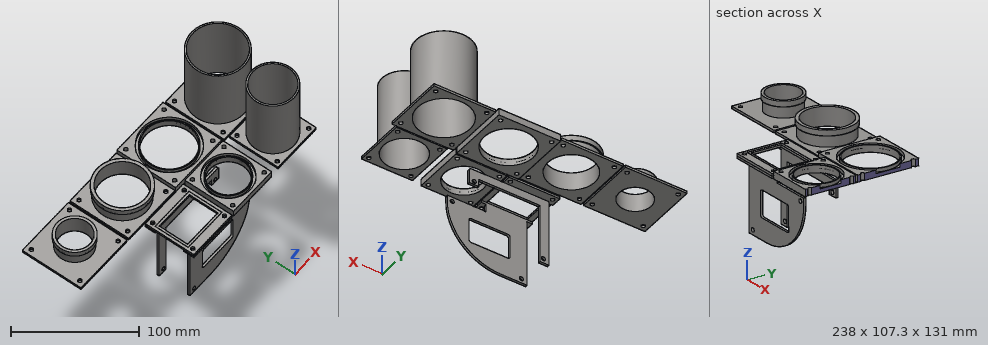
import cadquery as cq
plate_thickness = 2.25
large_side = 58.0
large_hole_inset = 5.0
small_side = 48.0
small_hole_inset = 4.15
screw_diameter = 3.4

column_step = 60.0
ring_x = 119.0
row_gap = 1.28
small_row_y = -(large_side / 2 + row_gap + small_side / 2)
small_ring_x = ring_x + (large_side - small_side) / 2
frame_gap = 2.0
frame_x = small_ring_x - small_side - frame_gap
tube_x = 3 * column_step

collar_height = 17.0
collar_lip_height = 5.0
narrow_collar_bore = 30.0
narrow_collar_diameter = 33.0
narrow_collar_lip_diameter = 35.0
wide_collar_bore = 44.0
wide_collar_diameter = 48.0
wide_collar_lip_diameter = 50.0

tube_height = 66.0
large_tube_diameter = 52.0
small_tube_diameter = 42.0
tube_wall = 1.5

ring_bottom = -1.5
ring_thickness = 6.5
groove_depth = 3.0
groove_clearance = 1.0
large_ring_bore = 46.0
small_ring_bore = 36.0
groove_lip_wall = 1.0

window_length = 38.0
window_width = 28.0
window_step = 2.25
window_step_depth = 0.2

flange_thickness = 2.0
cheek_thickness = 2.25
cheek_length = 75.0
cheek_bottom = -65.0
cheek_arc_radius = 50.0
cheek_corner_radius = 2.0
cheek_window_length = 38.5
cheek_window_height = 23.5
cheek_window_offset = 16.0
cheek_window_bottom = -46.0
cheek_window_radius = 2.0
cheek_hole_diameter = 3.6
lower_hole_inset_x = 5.25
lower_hole_inset_z = 4.25
upper_hole_inset_x = 4.75
upper_hole_z = -13.25
notch_length = 36.5
notch_bottom = -9.25
upright_width = 8.5
band_bottom = -9.5
tab_width = 9.0
tab_bottom = -16.5

cheek_top = -flange_thickness
cheek_left = frame_x - window_length / 2
cheek_right = cheek_left + cheek_length
cheek_plane = cq.Workplane("XZ", origin=(0, small_row_y - window_width / 2, 0))


def drilled_plate(side, inset, x, y, bottom, thickness):
    """Square plate with a screw hole near each corner."""
    pitch = side - 2 * inset
    plate = cq.Workplane("XY", origin=(x, y, bottom)).rect(side, side).extrude(thickness)
    holes = (
        cq.Workplane("XY", origin=(x, y, bottom))
        .rect(pitch, pitch, forConstruction=True)
        .vertices()
        .circle(screw_diameter / 2)
        .extrude(thickness)
    )
    return plate.cut(holes)


def disc(diameter, x, y, bottom, top):
    return cq.Workplane("XY", origin=(x, y, bottom)).circle(diameter / 2).extrude(top - bottom)


def collar(x, bore, outer_diameter, lip_diameter):
    lip_bottom = collar_height - collar_lip_height
    body = drilled_plate(large_side, large_hole_inset, x, 0, 0, plate_thickness)
    body = body.union(disc(outer_diameter, x, 0, 0, lip_bottom))
    body = body.union(disc(lip_diameter, x, 0, lip_bottom, collar_height))
    return body.cut(disc(bore, x, 0, 0, collar_height))


def tube(side, inset, y, diameter):
    body = drilled_plate(side, inset, tube_x, y, 0, plate_thickness)
    body = body.union(disc(diameter, tube_x, y, 0, tube_height))
    return body.cut(disc(diameter - 2 * tube_wall, tube_x, y, 0, tube_height))


def socket_ring(side, inset, x, y, tube_diameter, bore):
    top = ring_bottom + ring_thickness
    floor = top - groove_depth
    groove = disc(tube_diameter + groove_clearance, x, y, floor, top)
    groove = groove.cut(disc(bore + 2 * groove_lip_wall, x, y, floor, top))
    body = drilled_plate(side, inset, x, y, ring_bottom, ring_thickness)
    return body.cut(groove).cut(disc(bore, x, y, ring_bottom, top))


def window_frame():
    origin = (frame_x, small_row_y, 0)
    body = drilled_plate(small_side, small_hole_inset, *origin, plate_thickness)
    window = cq.Workplane("XY", origin=origin).rect(window_length, window_width).extrude(plate_thickness)
    step = (
        cq.Workplane("XY", origin=origin)
        .workplane(offset=plate_thickness - window_step_depth)
        .rect(window_length + 2 * window_step, window_width + 2 * window_step)
        .extrude(window_step_depth)
    )
    return body.cut(window).cut(step)


def cheek_blank():
    """Near cheek outline: straight at the left and top, rounded to a quarter disc at lower right."""
    arc_centre_z = cheek_bottom + cheek_arc_radius
    return (
        cheek_plane.moveTo(cheek_left, cheek_bottom)
        .lineTo(cheek_right - cheek_arc_radius, cheek_bottom)
        .radiusArc((cheek_right, arc_centre_z), -cheek_arc_radius)
        .lineTo(cheek_right, cheek_top - cheek_corner_radius)
        .radiusArc((cheek_right - cheek_corner_radius, cheek_top), -cheek_corner_radius)
        .lineTo(cheek_left, cheek_top)
        .close()
        .extrude(cheek_thickness)
    )


def cheek_block(left, right, bottom, top):
    """Rectangular block through the thickness of the near cheek."""
    return (
        cheek_plane.center((left + right) / 2, (bottom + top) / 2)
        .rect(right - left, top - bottom)
        .extrude(cheek_thickness)
    )


def cheek_holes():
    return (
        cheek_plane.pushPoints([
            (cheek_left + lower_hole_inset_x, cheek_bottom + lower_hole_inset_z),
            (cheek_right - upper_hole_inset_x, upper_hole_z),
        ])
        .circle(cheek_hole_diameter / 2)
        .extrude(cheek_thickness)
    )


def flange():
    """Drilled strip under the near side of the frame, from its edge to the window."""
    strip_width = (small_side - window_width) / 2
    strip = cq.Workplane("XY").box(
        small_side, strip_width, flange_thickness, centered=False
    ).translate((frame_x - small_side / 2, small_row_y - small_side / 2, cheek_top))
    drilled = drilled_plate(
        small_side, small_hole_inset, frame_x, small_row_y, cheek_top, flange_thickness
    )
    return strip.intersect(drilled)


def windowed_bracket():
    """Bracket on the -Y side: a broad cheek with a window and a notch in its upper corner."""
    window_left = cheek_left + cheek_window_offset
    window = cheek_block(
        window_left,
        window_left + cheek_window_length,
        cheek_window_bottom,
        cheek_window_bottom + cheek_window_height,
    )
    window = window.edges("|Y").fillet(cheek_window_radius)
    notch = cheek_block(cheek_right - notch_length, cheek_right, notch_bottom, cheek_top)
    cheek = cheek_blank().cut(window).cut(notch).cut(cheek_holes())
    return cheek.union(flange())


def open_bracket():
    """Bracket on the +Y side: an upright strip, a band along the top and a tab round the hole."""
    opening = cheek_block(
        cheek_left + upright_width, cheek_right - tab_width, cheek_bottom, band_bottom
    )
    below_tab = cheek_block(cheek_right - tab_width, cheek_right, cheek_bottom, tab_bottom)
    cheek = cheek_blank().cut(opening).cut(below_tab).cut(cheek_holes())
    return cheek.union(flange()).mirror("XZ", (0, small_row_y, 0))


narrow_collar = collar(
    0, narrow_collar_bore, narrow_collar_diameter, narrow_collar_lip_diameter
)
wide_collar = collar(
    column_step, wide_collar_bore, wide_collar_diameter, wide_collar_lip_diameter
)
large_ring = socket_ring(
    large_side, large_hole_inset, ring_x, 0, large_tube_diameter, large_ring_bore
)
large_tube = tube(large_side, large_hole_inset, 0, large_tube_diameter)
frame = window_frame()
small_ring = socket_ring(
    small_side, small_hole_inset, small_ring_x, small_row_y, small_tube_diameter, small_ring_bore
)
small_tube = tube(small_side, small_hole_inset, small_row_y, small_tube_diameter)
near_bracket = windowed_bracket()
far_bracket = open_bracket()

result = cq.Compound.makeCompound([
    narrow_collar.val(),
    wide_collar.val(),
    large_ring.val(),
    large_tube.val(),
    frame.val(),
    small_ring.val(),
    small_tube.val(),
    near_bracket.val(),
    far_bracket.val(),
])